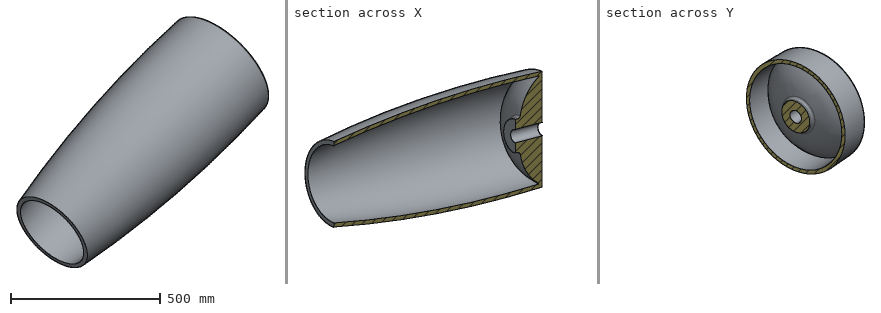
import cadquery as cq
import math

length = 900.0
mouth_y = -length / 2
base_y = length / 2

mouth_radius = 152.2
middle_radius = 202.0
base_radius = 206.1
base_fillet = 5.0
wall = 16.0

dome_radius = 184.0
dome_centre_radius = 36.0
dome_rim_radius = base_radius - wall
dome_rim_y = base_y - wall
dome_overlap = 5.0

boss_radius = 60.0
boss_height = 20.0
boss_fillet = 10.0
hole_radius = 23.0


def revolve_about_y(profile):
    """Close a half profile, drawn with X as radius, and turn it about the Y axis."""
    return profile.close().revolve(360, (0, 0, 0), (0, 1, 0))


def barrel(inset):
    """Solid barrel whose curved side is moved inwards by inset."""
    return revolve_about_y(
        cq.Workplane("XY")
        .moveTo(0, mouth_y)
        .lineTo(mouth_radius - inset, mouth_y)
        .threePointArc((middle_radius - inset, 0), (base_radius - inset, base_y))
        .lineTo(0, base_y)
    )


def dome_drop(radius):
    """Axial distance from the dome arc's centre to its surface at a given radius."""
    return math.sqrt(dome_radius**2 - (radius - dome_centre_radius) ** 2)


def dome_point(radius):
    """Point of the dome meridian at a given distance from the axis."""
    return radius, dome_rim_y + dome_drop(dome_rim_radius) - dome_drop(radius)


def floor():
    """Thick base with a domed inner face and a filleted boss at its centre."""
    boss_foot = dome_point(boss_radius)
    boss_top_y = boss_foot[1] - boss_height
    edge_radius = dome_rim_radius + dome_overlap
    blank = revolve_about_y(
        cq.Workplane("XY")
        .moveTo(0, base_y)
        .lineTo(0, boss_top_y)
        .lineTo(boss_radius, boss_top_y)
        .lineTo(*boss_foot)
        .threePointArc(dome_point((boss_radius + edge_radius) / 2), dome_point(edge_radius))
        .lineTo(edge_radius, base_y)
    )
    boss_circles = blank.edges(cq.selectors.RadiusNthSelector(0))
    return boss_circles.edges(">Y").fillet(boss_fillet)


body = barrel(0).faces(">Y").edges().fillet(base_fillet)
cavity = barrel(wall).cut(floor())
hole = cq.Workplane("XZ").circle(hole_radius).extrude(length, both=True)
result = body.cut(cavity).cut(hole)